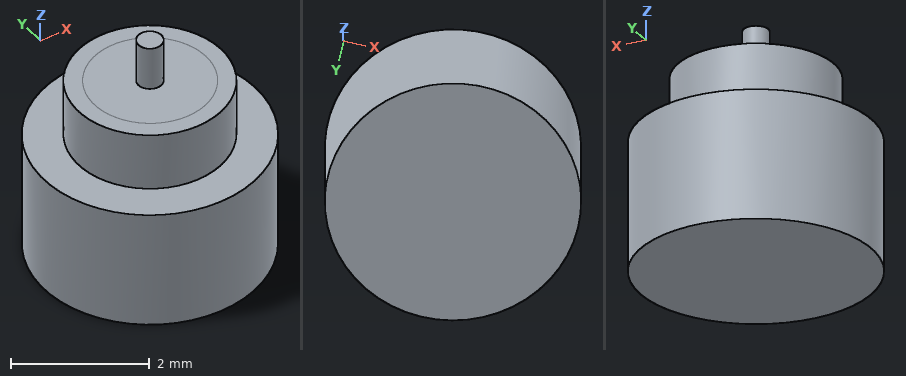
import cadquery as cq

total_height = 3.8
base_diameter = 3.7
base_height = 2.05
collar_diameter = 2.5
collar_height = 1.0
core_diameter = 1.95
pin_diameter = 0.4

collar_top = base_height + collar_height
pin_height = total_height - collar_top


def cylinder(diameter, height, bottom):
    """Upright cylinder on the Z axis, starting at the given height."""
    return cq.Workplane("XY", origin=(0, 0, bottom)).circle(diameter / 2).extrude(height)


base = cylinder(base_diameter, base_height, 0)
collar = cylinder(collar_diameter, collar_height, base_height)
core = cylinder(core_diameter, collar_height, base_height)
pin = cylinder(pin_diameter, pin_height, collar_top)

collar_ring = collar.cut(core)
result = base.union(collar_ring, clean=False).union(core, clean=False).union(pin, clean=False)